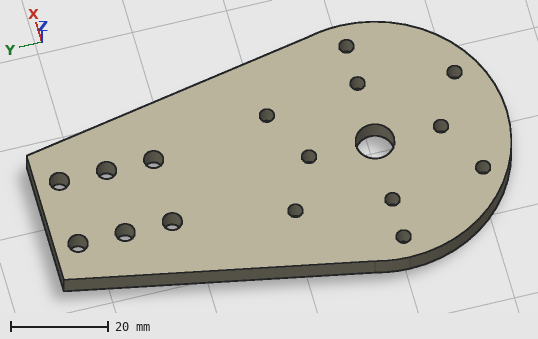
import cadquery as cq
import math

thickness = 5.0
hub_radius = 28.0
side_start_angle = 14.9
end_half_width = 15.0
end_y = 70.0

bore_diameter = 8.0
small_hole_diameter = 3.0
inner_circle_radius = 14.0
inner_hole_count = 4
outer_circle_radius = 23.0
outer_hole_count = 6
end_hole_diameter = 4.0
end_hole_spacing_x = 15.0
end_hole_pitch_y = 10.0
end_hole_rows = 3
end_hole_margin = 5.0


def hub_point(angle):
    """Point on the hub's rim at an angle in degrees above the X axis."""
    radians = math.radians(angle)
    return hub_radius * math.cos(radians), hub_radius * math.sin(radians)


def make_plate():
    """Teardrop plate: lower half-round hub, a short rim arc above it on each side, then straight sides.

    The half-round and the short arcs stay separate faces, so they are not merged when extruded.
    """
    side_x, side_y = hub_point(side_start_angle)
    middle_x, middle_y = hub_point(side_start_angle / 2)
    return (
        cq.Workplane("XY")
        .moveTo(-end_half_width, end_y)
        .lineTo(-side_x, side_y)
        .threePointArc((-middle_x, middle_y), (-hub_radius, 0))
        .threePointArc((0, -hub_radius), (hub_radius, 0))
        .threePointArc((middle_x, middle_y), (side_x, side_y))
        .lineTo(end_half_width, end_y)
        .close()
        .extrude(thickness, clean=False)
    )


def cut_holes(plate, points, diameter):
    """Cut through holes of one diameter at the given XY points."""
    cutters = cq.Workplane("XY").pushPoints(points).circle(diameter / 2).extrude(thickness)
    return plate.cut(cutters, clean=False)


def circle_points(radius, count):
    """Evenly spaced points on a circle about the hub, the first on +X."""
    step = 2 * math.pi / count
    return [(radius * math.cos(i * step), radius * math.sin(i * step)) for i in range(count)]


def end_points():
    """Two columns of holes counted back from the straight end."""
    first_row_y = end_y - end_hole_margin
    return [
        (side * end_hole_spacing_x / 2, first_row_y - row * end_hole_pitch_y)
        for side in (-1, 1)
        for row in range(end_hole_rows)
    ]


result = make_plate()
result = cut_holes(result, [(0, 0)], bore_diameter)
result = cut_holes(result, circle_points(inner_circle_radius, inner_hole_count), small_hole_diameter)
result = cut_holes(result, circle_points(outer_circle_radius, outer_hole_count), small_hole_diameter)
result = cut_holes(result, end_points(), end_hole_diameter)